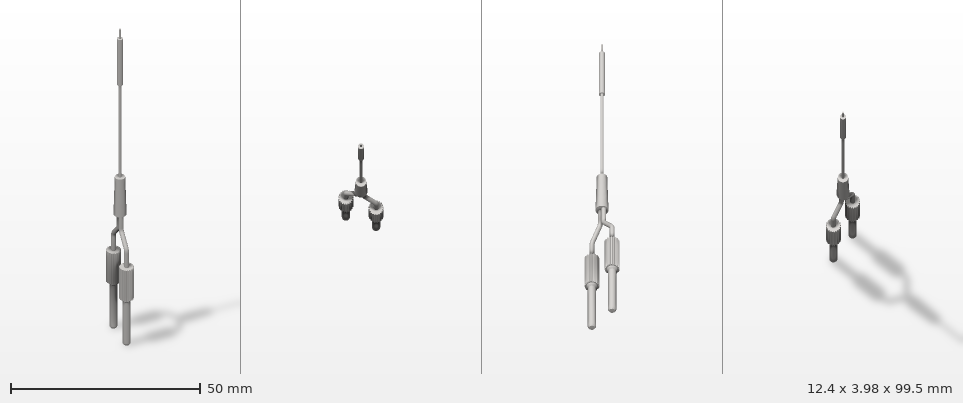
import cadquery as cq
import math

total_height = 99.5
probe_tip_length = 3.1
sleeve_length = 14.9
stem_length = 29.9
boot_length = 12.0
grip_bottom = 15.0
grip_height = 10.0

sleeve_bottom = total_height - probe_tip_length - sleeve_length
boot_top = sleeve_bottom - stem_length
boot_bottom = boot_top - boot_length
grip_top = grip_bottom + grip_height

probe_tip_diameter = 0.5
sleeve_diameter = 1.6
stem_diameter = 0.8
boot_top_diameter = 2.8
boot_bottom_diameter = 3.5

wire_diameter = 1.3
wire_offset = 0.7
wire_pair_length = 4.1
bend_radius = 2.0
bend_angle = math.radians(40)
joint_overlap = 1.0

plug_offset = 4.23
grip_diameter = 4.0
rib_count = 20
groove_depth = 0.3
groove_share = 0.65
neck_diameter = 3.0
neck_height = 0.8
neck_chamfer = 0.4
pin_diameter = 2.2
pin_chamfer = 0.5
pin_chamfer_inset = 0.3


def cylinder(diameter, bottom, top):
    return cq.Workplane("XY").workplane(offset=bottom).circle(diameter / 2).extrude(top - bottom)


def make_boot():
    return (
        cq.Workplane("XZ")
        .moveTo(0, boot_bottom)
        .lineTo(boot_bottom_diameter / 2, boot_bottom)
        .lineTo(boot_top_diameter / 2, boot_top)
        .lineTo(0, boot_top)
        .close()
        .revolve(360, (0, 0, 0), (0, 1, 0))
    )


def make_probe():
    tip = cylinder(probe_tip_diameter, boot_top, total_height)
    sleeve = cylinder(sleeve_diameter, sleeve_bottom, sleeve_bottom + sleeve_length)
    stem = cylinder(stem_diameter, boot_top - joint_overlap, sleeve_bottom)
    return make_boot().union(stem).union(sleeve).union(tip)


def make_wire():
    """Wire on the +X side: straight, bent outward, sloped, bent back and straight again."""
    bend_start = boot_bottom - wire_pair_length
    arc_step = bend_radius * (1 - math.cos(bend_angle))
    arc_drop = bend_radius * math.sin(bend_angle)
    slope_step = plug_offset - wire_offset - 2 * arc_step
    slope_drop = slope_step / math.tan(bend_angle)

    half_step = bend_radius * (1 - math.cos(bend_angle / 2))
    half_drop = bend_radius * math.sin(bend_angle / 2)
    bend_end = bend_start - 2 * arc_drop - slope_drop

    path = (
        cq.Workplane("XZ")
        .moveTo(wire_offset, boot_bottom + joint_overlap)
        .lineTo(wire_offset, bend_start)
        .threePointArc(
            (wire_offset + half_step, bend_start - half_drop),
            (wire_offset + arc_step, bend_start - arc_drop),
        )
        .lineTo(plug_offset - arc_step, bend_end + arc_drop)
        .threePointArc((plug_offset - half_step, bend_end + half_drop), (plug_offset, bend_end))
        .lineTo(plug_offset, grip_top - joint_overlap)
    )
    return (
        cq.Workplane("XY", origin=(wire_offset, 0, boot_bottom + joint_overlap))
        .circle(wire_diameter / 2)
        .sweep(path)
    )


def make_grip():
    """Round bar with straight V grooves all round, leaving ribs between them."""
    groove_width = groove_share * math.pi * grip_diameter / rib_count
    grip = cylinder(grip_diameter, grip_bottom, grip_top)
    mouth_radius = grip_diameter / 2
    groove = (
        cq.Workplane("XY")
        .workplane(offset=grip_bottom)
        .moveTo(mouth_radius - groove_depth, 0)
        .lineTo(mouth_radius + groove_depth, -groove_width)
        .lineTo(mouth_radius + groove_depth, groove_width)
        .close()
        .extrude(grip_height)
    )
    for step in range(rib_count):
        angle = step * 360 / rib_count
        grip = grip.cut(groove.rotate((0, 0, 0), (0, 0, 1), angle))
    return grip


def make_pin():
    """Chamfered neck and pin below the grip, turned as one profile."""
    pin_radius = pin_diameter / 2
    neck_radius = neck_diameter / 2
    neck_bottom = grip_bottom - neck_height
    return (
        cq.Workplane("XZ")
        .moveTo(0, 0)
        .lineTo(pin_radius - pin_chamfer_inset, 0)
        .lineTo(pin_radius, pin_chamfer)
        .lineTo(pin_radius, neck_bottom)
        .lineTo(neck_radius, neck_bottom + neck_chamfer)
        .lineTo(neck_radius, grip_bottom)
        .lineTo(0, grip_bottom)
        .close()
        .revolve(360, (0, 0, 0), (0, 1, 0))
    )


plug = make_grip().union(make_pin())
wire = make_wire()

result = make_probe()
for side in (-1, 1):
    side_wire = wire if side > 0 else wire.mirror("YZ")
    result = result.union(side_wire).union(plug.translate((side * plug_offset, 0, 0)))